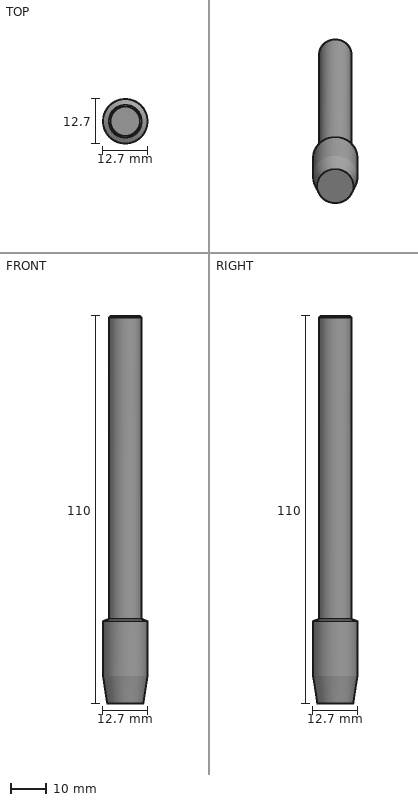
import cadquery as cq

overall_length = 110.0
rod_diameter = 9.3
rod_chamfer = 0.5

sleeve_diameter = 12.7
sleeve_tip_diameter = 10.3
sleeve_length = 24.05
sleeve_taper_length = 7.8
sleeve_shoulder_height = 0.68

bore_floor = sleeve_taper_length


def make_rod():
    """Round bar standing on the floor of the bore, chamfered at its upper end."""
    bar = (
        cq.Workplane("XY")
        .workplane(offset=bore_floor)
        .circle(rod_diameter / 2)
        .extrude(overall_length - bore_floor)
    )
    return bar.faces(">Z").chamfer(rod_chamfer)


def make_sleeve():
    """Revolved collar: tapered tip, straight barrel, shallow conical shoulder and a blind bore."""
    bore_radius = rod_diameter / 2
    barrel_radius = sleeve_diameter / 2
    profile = (
        cq.Workplane("XZ")
        .moveTo(0, 0)
        .lineTo(sleeve_tip_diameter / 2, 0)
        .lineTo(barrel_radius, sleeve_taper_length)
        .lineTo(barrel_radius, sleeve_length - sleeve_shoulder_height)
        .lineTo(bore_radius, sleeve_length)
        .lineTo(bore_radius, bore_floor)
        .lineTo(0, bore_floor)
        .close()
    )
    return profile.revolve(360, (0, 0, 0), (0, 1, 0))


rod = make_rod()
sleeve = make_sleeve()

result = cq.Compound.makeCompound([rod.val(), sleeve.val()])